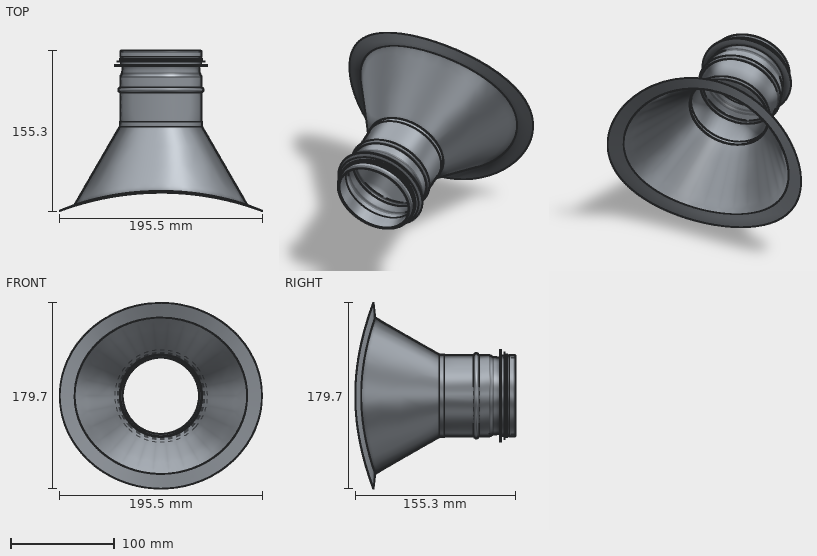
import cadquery as cq
import math


position_tolerance = 0.002
foot_iterations = 30

total_length = 155.3
sheet = 0.49

pipe_radius = 79.0 / 2
neck_radius = 74.3 / 2
neck_wide_radius = 75.5 / 2
bead_height = 1.85
bead_half_width = 2.2
bead_root_fillet = 0.8
hem_fillet = 1.8
shoulder_fillet = 1.5

hem_length = 6.3
gasket_depth = 15.5
shoulder_start_depth = 22.1
shoulder_end_depth = 25.5
bead_depth = 38.1
collar_start_depth = 68.8
collar_end_depth = 73.7

gasket_base_radius = pipe_radius - sheet
gasket_rib_radius = 80.0 / 2
small_lip_radius = 84.5 / 2
large_lip_radius = 89.4 / 2
rib_depths = (8.0, 9.4)
small_lip_depths = (10.5, 11.1)
large_lip_depth = 14.0

cone_half_angle = 30.0
duct_radius = 264.0
flange_length = 195.5
flange_width = 13.9
flange_crown = 17.6
flange_inset = 1.2
curve_points = 36

spigot_end = total_length
bore_radius = neck_radius - sheet
collar_radius = pipe_radius + sheet
cone_top = spigot_end - collar_end_depth
cone_slope = math.tan(math.radians(cone_half_angle))
cone_wall = sheet / math.cos(math.radians(cone_half_angle))
rim_half_length = flange_length / 2
rim_radius = (rim_half_length ** 2 + flange_crown ** 2) / (2 * flange_crown)

foot_radius = rim_half_length - flange_width
foot_height = cone_top - (foot_radius - collar_radius) / cone_slope
duct_axis = foot_height - math.sqrt(duct_radius ** 2 - foot_radius ** 2)
rim_axis = flange_crown - rim_radius


def y_at(depth):
    """Y of a point at this depth below the open spigot end."""
    return spigot_end - depth


def revolve_about_y(profile):
    """Close the half section and turn it into a full body about Y."""
    return profile.close().revolve(360, (0, 0, 0), (0, 1, 0))


def ring(inner_radius, outer_radius, start_depth, end_depth):
    """Plain ring about Y between two depths."""
    return revolve_about_y(
        cq.Workplane("XY")
        .moveTo(inner_radius, y_at(start_depth))
        .lineTo(outer_radius, y_at(start_depth))
        .lineTo(outer_radius, y_at(end_depth))
        .lineTo(inner_radius, y_at(end_depth))
    )


def circles_at(body, depths):
    """Circular edges of the body that lie at any of the depths."""
    return [
        edge
        for edge in body.edges("%CIRCLE").vals()
        if any(abs(edge.Center().y - y_at(depth)) < position_tolerance for depth in depths)
    ]


def spigot_envelope(inset):
    """Solid of revolution for the pipe skin, moved inward by the inset."""
    pipe = pipe_radius - inset
    bead_crest = pipe + bead_height
    envelope = revolve_about_y(
        cq.Workplane("XY")
        .moveTo(0, y_at(0))
        .lineTo(neck_radius - inset, y_at(0))
        .lineTo(neck_radius - inset, y_at(gasket_depth))
        .lineTo(neck_wide_radius - inset, y_at(shoulder_start_depth))
        .lineTo(pipe, y_at(shoulder_end_depth))
        .lineTo(pipe, y_at(bead_depth - bead_half_width))
        .threePointArc((bead_crest, y_at(bead_depth)), (pipe, y_at(bead_depth + bead_half_width)))
        .lineTo(pipe, y_at(collar_end_depth))
        .lineTo(0, y_at(collar_end_depth))
    )
    bead_root_depths = (bead_depth - bead_half_width, bead_depth + bead_half_width)
    shoulder_depths = (shoulder_start_depth, shoulder_end_depth)
    envelope = envelope.newObject(circles_at(envelope, bead_root_depths)).fillet(bead_root_fillet)
    return envelope.newObject(circles_at(envelope, shoulder_depths)).fillet(shoulder_fillet)


def round_outer_end(body, radius):
    """Round the outer corner at the open end of a ring."""
    return body.faces(">Y").edges(cq.selectors.RadiusNthSelector(1)).fillet(radius)


def hem_groove():
    """Space between the neck and the outer leg of the hem."""
    return round_outer_end(ring(neck_radius, gasket_base_radius, sheet, hem_length), hem_fillet - sheet)


def make_hem():
    """End cap and outer leg of the sheet folded back over the neck."""
    outside = round_outer_end(ring(bore_radius, pipe_radius, 0, hem_length), hem_fillet)
    return outside.cut(hem_groove())


def make_spigot():
    """Thin pipe skin together with its folded hem."""
    pipe = spigot_envelope(0).cut(spigot_envelope(sheet))
    return pipe.union(make_hem())


def make_gasket():
    """Sleeve whose end is held in the hem groove, with its rib and lips."""
    gasket = hem_groove().union(ring(neck_radius, gasket_base_radius, hem_length, gasket_depth))
    gasket = gasket.union(ring(neck_radius, gasket_rib_radius, *rib_depths))
    gasket = gasket.union(ring(neck_radius, small_lip_radius, *small_lip_depths))
    return gasket.union(ring(neck_radius, large_lip_radius, large_lip_depth, gasket_depth))


def foot_radius_at(angle):
    """Radius where the cone meets the duct cylinder; found by fixed-point steps."""
    radius = foot_radius
    for _ in range(foot_iterations):
        height = duct_axis + math.sqrt(duct_radius ** 2 - (radius * math.cos(angle)) ** 2)
        radius = collar_radius + (cone_top - height) * cone_slope
    return radius


def foot_point(angle):
    """Point where the outside of the cone meets the duct cylinder."""
    radius = foot_radius_at(angle)
    height = cone_top - (radius - collar_radius) / cone_slope
    return cq.Vector(radius * math.cos(angle), height, radius * math.sin(angle))


def rim_point(angle):
    """Point of the flange's outer edge, on the rim cylinder."""
    radius = foot_radius_at(angle) + flange_width
    x = radius * math.cos(angle)
    height = rim_axis + math.sqrt(rim_radius ** 2 - x ** 2)
    return cq.Vector(x, height, radius * math.sin(angle))


def blank_edge_point(angle):
    """Point of the flange blank's inner edge, past the cone foot and inside the bore."""
    foot = foot_point(angle)
    return foot + (foot - rim_point(angle)) * (flange_inset / flange_width)


def closed_curve(point_at):
    """Smooth closed curve through points all around Y, with its seam on the +Z side."""
    step = 2 * math.pi / curve_points
    points = [point_at(math.pi / 2 + i * step) for i in range(curve_points)]
    return cq.Edge.makeSpline(points, periodic=True)


def make_flange():
    """Thin ruled band between the foot of the cone and the rim."""
    underside = cq.Face.makeRuledSurface(closed_curve(blank_edge_point), closed_curve(rim_point))
    return cq.Workplane(cq.Solid.extrudeLinear(underside, cq.Vector(0, sheet, 0)))


def cone_blank():
    """Solid collar and cone, ended on the duct cylinder at mid-thickness of the flange."""
    blank = revolve_about_y(
        cq.Workplane("XY")
        .moveTo(0, 0)
        .lineTo(collar_radius + cone_top * cone_slope, 0)
        .lineTo(collar_radius, cone_top)
        .lineTo(collar_radius, y_at(collar_start_depth))
        .lineTo(0, y_at(collar_start_depth))
    )
    duct = (
        cq.Workplane("XY", origin=(0, duct_axis + sheet / 2, -flange_length))
        .circle(duct_radius)
        .extrude(2 * flange_length)
    )
    return blank.cut(duct)


def saddle_bore():
    """Inside of the collar and cone, one wall thickness within the outside."""
    neck_height = cone_top - (pipe_radius - collar_radius + cone_wall) / cone_slope
    return revolve_about_y(
        cq.Workplane("XY")
        .moveTo(0, 0)
        .lineTo(collar_radius + cone_top * cone_slope - cone_wall, 0)
        .lineTo(pipe_radius, neck_height)
        .lineTo(pipe_radius, y_at(collar_start_depth))
        .lineTo(0, y_at(collar_start_depth))
    )


def make_saddle():
    """Collar, cone and flange as one sheet metal body."""
    return cone_blank().union(make_flange()).cut(saddle_bore())


spigot = make_spigot()
gasket = make_gasket()
saddle = make_saddle()

result = cq.Compound.makeCompound([spigot.val(), gasket.val(), saddle.val()])